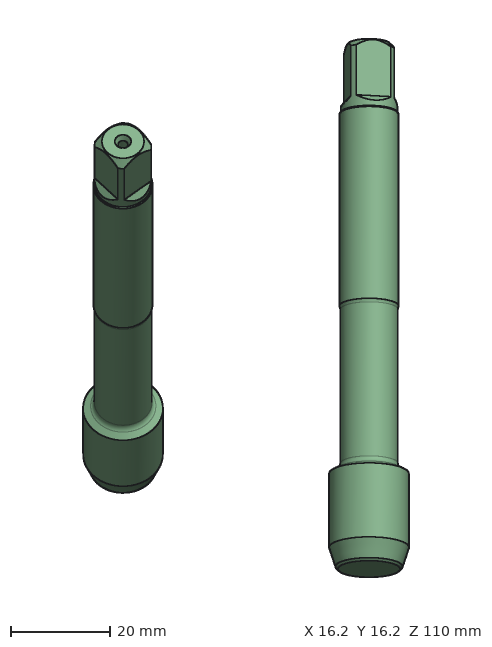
import cadquery as cq
import math


total_length = 110.0
thread_diameter = 16.17
thread_length = 20.0
lead_length = 4.5
lead_end_radius = 6.8
tip_chamfer_height = 0.5
tip_face_radius = 6.3

neck_diameter = 11.7
shoulder_angle = 30.0
neck_fillet = 1.5

shank_diameter = 12.0
shank_bottom_z = 55.1
shank_chamfer_height = 0.3

collar_diameter = 11.52
collar_bottom_z = 95.6
square_width = 9.0
square_length = 12.0
flat_runout_angle = 45.0
top_chamfer = 1.5

centre_hole_diameter = 2.0
centre_sink_diameter = 3.3
centre_sink_angle = 60.0
centre_hole_depth = 4.0
drill_point_angle = 118.0

thread_radius = thread_diameter / 2
neck_radius = neck_diameter / 2
shank_radius = shank_diameter / 2
collar_radius = collar_diameter / 2


def thread_section():
    """Solid of revolution for the forming part, with its tapered lead."""
    profile = [
        (0, 0),
        (tip_face_radius, 0),
        (lead_end_radius, tip_chamfer_height),
        (thread_radius, lead_length),
        (thread_radius, thread_length),
        (0, thread_length),
    ]
    return cq.Workplane("XZ").polyline(profile).close().revolve(360, (0, 0, 0), (0, 1, 0))


def neck_arc_point(tangent_z, turn):
    """Point on a neck blend arc, turned up (+) or down (-) from the tangent point."""
    radius = neck_radius + neck_fillet * (1 - math.cos(turn))
    return (radius, tangent_z + neck_fillet * math.sin(turn))


def shank_blank():
    """Shoulder, neck, shank and round drive end turned in one piece."""
    slope = math.radians(shoulder_angle)
    cone_top_z = thread_length + (thread_radius - neck_radius) * math.tan(slope)
    fillet_turn = math.pi / 2 - slope
    tangent = neck_fillet * math.tan(fillet_turn / 2)
    fillet_end_z = cone_top_z + tangent
    fillet_start = (neck_radius + tangent * math.cos(slope), cone_top_z - tangent * math.sin(slope))
    fillet_middle = neck_arc_point(fillet_end_z, -fillet_turn / 2)

    relief_turn = math.acos(1 - (shank_radius - neck_radius) / neck_fillet)
    relief_start_z = shank_bottom_z - neck_fillet * math.sin(relief_turn)
    relief_middle = neck_arc_point(relief_start_z, relief_turn / 2)

    return (
        cq.Workplane("XZ")
        .moveTo(0, thread_length)
        .lineTo(thread_radius, thread_length)
        .lineTo(*fillet_start)
        .threePointArc(fillet_middle, (neck_radius, fillet_end_z))
        .lineTo(neck_radius, relief_start_z)
        .threePointArc(relief_middle, (shank_radius, shank_bottom_z))
        .lineTo(shank_radius, collar_bottom_z - shank_chamfer_height)
        .lineTo(collar_radius, collar_bottom_z)
        .lineTo(collar_radius, total_length - top_chamfer)
        .lineTo(collar_radius - top_chamfer, total_length)
        .lineTo(0, total_length)
        .close()
        .revolve(360, (0, 0, 0), (0, 1, 0))
    )


def flat_cutter():
    """Tool that mills the +X drive flat, with its sloping lower end."""
    half_width = square_width / 2
    flat_bottom_z = total_length - square_length
    reach = shank_radius - half_width
    runout = reach * math.tan(math.radians(flat_runout_angle))
    profile = [
        (half_width, total_length),
        (half_width, flat_bottom_z),
        (shank_radius, flat_bottom_z - runout),
        (shank_radius, total_length),
    ]
    return cq.Workplane("XZ").polyline(profile).close().extrude(shank_radius, both=True)


def centre_hole():
    """Countersunk centre hole in the drive end, with a drill point."""
    hole_radius = centre_hole_diameter / 2
    sink_radius = centre_sink_diameter / 2
    sink_depth = (sink_radius - hole_radius) / math.tan(math.radians(centre_sink_angle / 2))
    point_depth = hole_radius / math.tan(math.radians(drill_point_angle / 2))
    bore_end_z = total_length - centre_hole_depth
    profile = [
        (0, total_length),
        (sink_radius, total_length),
        (hole_radius, total_length - sink_depth),
        (hole_radius, bore_end_z),
        (0, bore_end_z - point_depth),
    ]
    return cq.Workplane("XZ").polyline(profile).close().revolve(360, (0, 0, 0), (0, 1, 0))


def shank_section():
    """Turned shank with the square drive and the centre hole cut in."""
    shank = shank_blank()
    for side in range(4):
        shank = shank.cut(flat_cutter().rotate((0, 0, 0), (0, 0, 1), 90 * side))
    return shank.cut(centre_hole())


thread = thread_section()
shank = shank_section()

result = cq.Compound.makeCompound([thread.val(), shank.val()])